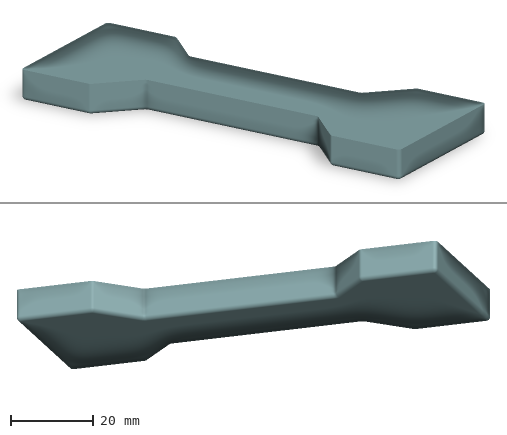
import cadquery as cq

length = 108.9
end_width = 39.6
thickness = 8.0

neck_width = 19.8
neck_length = 49.4
shoulder = (end_width - neck_width) / 2

edge_radius = 1.0
rim_radius = edge_radius

half_length = length / 2
half_width = end_width / 2
half_neck_length = neck_length / 2
half_neck_width = neck_width / 2
shoulder_end = half_neck_length + shoulder


def make_plate():
    """Dumbbell-shaped plate resting on Z = 0 and centred in X and Y."""
    upper_outline = [
        (-half_length, half_width),
        (-shoulder_end, half_width),
        (-half_neck_length, half_neck_width),
        (half_neck_length, half_neck_width),
        (shoulder_end, half_width),
        (half_length, half_width),
    ]
    lower_outline = [(x, -y) for x, y in reversed(upper_outline)]
    return cq.Workplane("XY").polyline(upper_outline + lower_outline).close().extrude(thickness)


plate = make_plate()
plate = plate.edges("|Z").fillet(edge_radius)

result = plate.faces("<Z").edges().fillet(rim_radius)